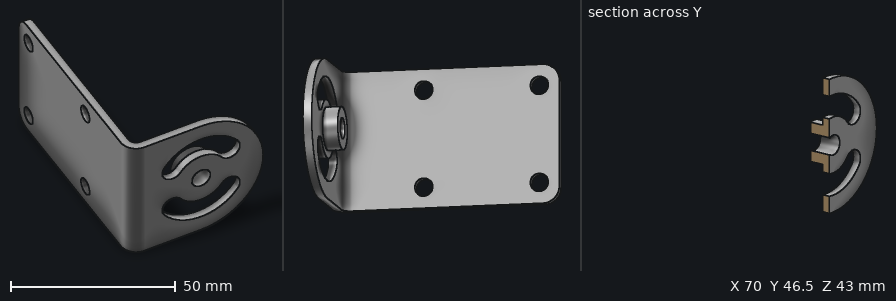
import cadquery as cq
import math

length = 70.0
depth = 46.5
height = 43.0
thickness = 2.78

bend_inner_radius = 2.6
bend_outer_radius = bend_inner_radius + thickness
corner_radius = 5.0

hole_diameter = 5.5
hole_spacing_x = 36.0
hole_spacing_z = 30.0
hole_edge_distance = 6.25

boss_diameter = 13.2
boss_total_length = 7.5
bore_diameter = 6.35
pivot_radius = height / 2
pivot_y = depth - pivot_radius
pivot_z = height / 2

slot_radius = 12.5
slot_width = 7.0
slot_end_angle = 37.5
slot_middle_angles = (90, 270)

inner_face_x = length - thickness


def pivot_cylinder(diameter, start_x, end_x):
    """Cylinder on the pivot axis."""
    base = cq.Workplane("YZ", origin=(start_x, pivot_y, pivot_z))
    return base.circle(diameter / 2).extrude(end_x - start_x)


def bent_sheet():
    """L-shaped sheet: long plate along X, short plate along Y, joined by a bend."""
    profile = (
        cq.Workplane("XY")
        .lineTo(length, 0)
        .lineTo(length, depth)
        .lineTo(inner_face_x, depth)
        .lineTo(inner_face_x, thickness)
        .lineTo(0, thickness)
        .close()
    )
    sheet = profile.extrude(height)
    inner_corner = cq.selectors.NearestToPointSelector((inner_face_x, thickness, height / 2))
    sheet = sheet.edges(inner_corner).fillet(bend_inner_radius)
    outer_corner = cq.selectors.NearestToPointSelector((length, 0, height / 2))
    return sheet.edges(outer_corner).fillet(bend_outer_radius)


def round_long_plate(sheet):
    """Round the two free corners of the long plate."""
    return sheet.faces("<X").edges("|Y").fillet(corner_radius)


def round_short_plate(sheet):
    """Shape the free end of the short plate as a half circle about the pivot."""
    end_block = cq.Workplane("XY").box(length, pivot_radius, height, centered=False)
    end_block = end_block.translate((0, pivot_y, 0))
    end_disc = pivot_cylinder(2 * pivot_radius, 0, length)
    return sheet.cut(end_block.cut(end_disc))


def mounting_holes():
    """Four through holes in the long plate."""
    centre_x = hole_edge_distance + hole_spacing_x / 2
    plane = cq.Workplane("XZ", origin=(centre_x, 0, height / 2))
    hole_centres = plane.rarray(hole_spacing_x, hole_spacing_z, 2, 2)
    return hole_centres.circle(hole_diameter / 2).extrude(-thickness)


def polar(radius, angle):
    """Point at an angle in degrees from the Y axis."""
    return (radius * math.cos(math.radians(angle)), radius * math.sin(math.radians(angle)))


def curved_slot(middle_angle):
    """Round-ended arc slot about the pivot, centred on the given angle."""
    inner = slot_radius - slot_width / 2
    outer = slot_radius + slot_width / 2
    quarter_turn = 90
    half_sweep = quarter_turn - slot_end_angle
    start = middle_angle - half_sweep
    end = middle_angle + half_sweep
    return (
        cq.Workplane("YZ", origin=(inner_face_x, pivot_y, pivot_z))
        .moveTo(*polar(outer, start))
        .threePointArc(polar(outer, middle_angle), polar(outer, end))
        .tangentArcPoint(polar(inner, end), relative=False)
        .threePointArc(polar(inner, middle_angle), polar(inner, start))
        .tangentArcPoint(polar(outer, start), relative=False)
        .close()
        .extrude(thickness)
    )


result = round_short_plate(round_long_plate(bent_sheet()))
result = result.cut(mounting_holes())
for slot_middle_angle in slot_middle_angles:
    result = result.cut(curved_slot(slot_middle_angle))
boss_face_x = length - boss_total_length
result = result.union(pivot_cylinder(boss_diameter, boss_face_x, length))
result = result.cut(pivot_cylinder(bore_diameter, boss_face_x, length))